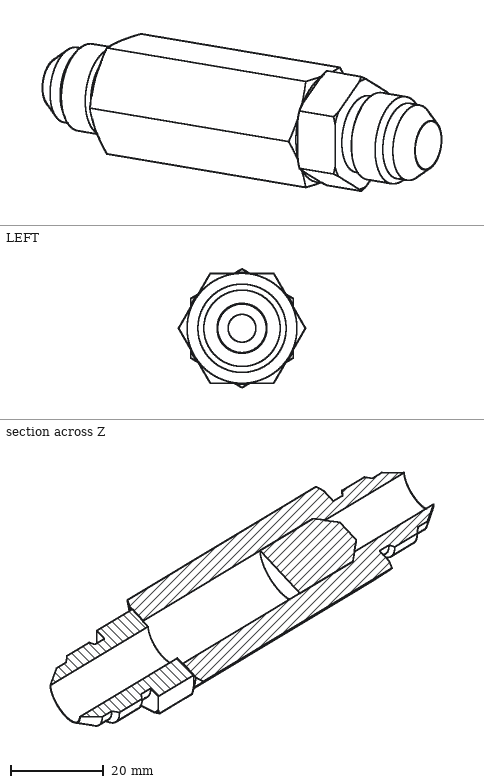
import cadquery as cq
import math

TOTAL_LENGTH = 95.35

TIP_DIAMETER = 10.8
NOSE_DIAMETER = 16.5
THREAD_DIAMETER = 19.1
RELIEF_DIAMETER = 16.8
NOSE_CONE_END = 3.8
NOSE_END = 6.4
THREAD_START = 7.5
THREAD_END = 13.6
RELIEF_START = 14.3
TUBE_END_LENGTH = 16.8

JOINT_X = 69.0
HOUSING_HEX_FLATS = 23.7
HOUSING_CHAMFER_DIAMETER = HOUSING_HEX_FLATS
HOUSING_CHAMFER_LENGTH = 0.7
FITTING_HEX_FLATS = 22.2
FITTING_CHAMFER_DIAMETER = 24.2
FITTING_CHAMFER_LENGTH = 0.4

BORE_DIAMETER = 10.5
CHAMBER_DIAMETER = 14.2
POPPET_FACE_DIAMETER = 6.0
POPPET_FACE_X = 19.1
POPPET_BODY_LENGTH = 14.3

SEAT_START_X = POPPET_FACE_X + (BORE_DIAMETER - POPPET_FACE_DIAMETER) / 2
SEAT_END_X = POPPET_FACE_X + (CHAMBER_DIAMETER - POPPET_FACE_DIAMETER) / 2


def turned(profile):
    """Revolve (x, diameter) stations about the X axis into a solid."""
    outline = [(x, diameter / 2) for x, diameter in profile]
    points = [(profile[0][0], 0)] + outline + [(profile[-1][0], 0)]
    return cq.Workplane("XY").polyline(points).close().revolve(360, (0, 0), (1, 0))


def tube_end():
    """Flared nose, thread envelope and relief groove, with the tip at X = 0."""
    return turned([
        (0, TIP_DIAMETER),
        (NOSE_CONE_END, NOSE_DIAMETER),
        (NOSE_END, NOSE_DIAMETER),
        (THREAD_START, THREAD_DIAMETER),
        (THREAD_END, THREAD_DIAMETER),
        (RELIEF_START, RELIEF_DIAMETER),
        (TUBE_END_LENGTH, RELIEF_DIAMETER),
    ])


def chamfered_hex(start_x, end_x, flats, chamfer_diameter, chamfer_length, turn_angle):
    """Hexagonal bar along X whose corners are turned to a cone at both ends."""
    corners = flats / math.cos(math.pi / 6)
    bar = cq.Workplane("YZ").polygon(6, corners).extrude(end_x - start_x)
    bar = bar.rotate((0, 0, 0), (1, 0, 0), turn_angle).translate((start_x, 0, 0))
    envelope = turned([
        (start_x, chamfer_diameter),
        (start_x + chamfer_length, corners),
        (end_x - chamfer_length, corners),
        (end_x, chamfer_diameter),
    ])
    return bar.intersect(envelope)


def make_housing():
    """Long hexagon, corners toward +Y and -Y, with a bore, conical seat and poppet chamber."""
    hexagon = chamfered_hex(TUBE_END_LENGTH, JOINT_X, HOUSING_HEX_FLATS,
                            HOUSING_CHAMFER_DIAMETER, HOUSING_CHAMFER_LENGTH, 0)
    passage = turned([
        (0, BORE_DIAMETER),
        (SEAT_START_X, BORE_DIAMETER),
        (SEAT_END_X, CHAMBER_DIAMETER),
        (JOINT_X, CHAMBER_DIAMETER),
    ])
    return hexagon.union(tube_end()).cut(passage)


def make_end_fitting():
    """Short hexagon, corners toward +Z and -Z, closing the chamber; bored through."""
    hexagon = chamfered_hex(JOINT_X, TOTAL_LENGTH - TUBE_END_LENGTH, FITTING_HEX_FLATS,
                            FITTING_CHAMFER_DIAMETER, FITTING_CHAMFER_LENGTH, 90)
    outlet = tube_end().mirror("YZ").translate((TOTAL_LENGTH, 0, 0))
    bore = turned([(JOINT_X, BORE_DIAMETER), (TOTAL_LENGTH, BORE_DIAMETER)])
    return hexagon.union(outlet).cut(bore)


def make_poppet():
    """Flat-nosed cone resting on the seat, with a body guided by the chamber."""
    return turned([
        (POPPET_FACE_X, POPPET_FACE_DIAMETER),
        (SEAT_END_X, CHAMBER_DIAMETER),
        (SEAT_END_X + POPPET_BODY_LENGTH, CHAMBER_DIAMETER),
    ])


housing = make_housing()
end_fitting = make_end_fitting()
poppet = make_poppet()

result = cq.Compound.makeCompound([housing.val(), end_fitting.val(), poppet.val()])